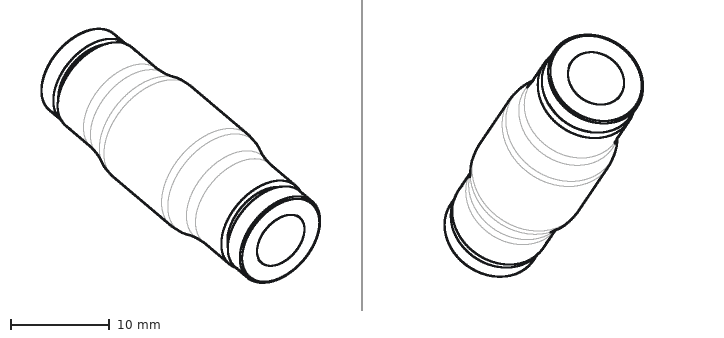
import cadquery as cq

length = 34.0
bore_radius = 3.0
collar_radius = 5.05
collar_length = 2.18
chamfer_length = 0.15
end_face_radius = 4.85
groove_radius = 4.45
groove_width = 0.92
sleeve_radius = 5.2
sleeve_length = 4.4
body_radius = 6.05

lower_cone_length = 1.35
flare_length = 2.35
upper_cone_length = 0.92
flare_start_radius = 5.35
flare_middle_radius = 5.58
flare_end_radius = 5.95

end_face = -length / 2
collar_end = end_face + collar_length
sleeve_start = collar_end + groove_width
sleeve_end = sleeve_start + sleeve_length
flare_start = sleeve_end + lower_cone_length
flare_middle = flare_start + flare_length / 2
flare_end = flare_start + flare_length
body_start = flare_end + upper_cone_length


def cylinder_along_x(radius, cylinder_length):
    """Cylinder on the X axis, centred on the middle of the part."""
    start = -cylinder_length / 2
    return cq.Workplane("YZ", origin=(start, 0, 0)).circle(radius).extrude(cylinder_length)


def fitting_end():
    """Solid of revolution from the -X end face to the start of the body."""
    return (
        cq.Workplane("XY")
        .moveTo(end_face, 0)
        .lineTo(end_face, end_face_radius)
        .lineTo(end_face + chamfer_length, collar_radius)
        .lineTo(collar_end, collar_radius)
        .lineTo(collar_end, groove_radius)
        .lineTo(sleeve_start, groove_radius)
        .lineTo(sleeve_start, sleeve_radius)
        .lineTo(sleeve_end, sleeve_radius)
        .lineTo(flare_start, flare_start_radius)
        .threePointArc((flare_middle, flare_middle_radius), (flare_end, flare_end_radius))
        .lineTo(body_start, body_radius)
        .lineTo(body_start, 0)
        .close()
        .revolve(360, (0, 0, 0), (1, 0, 0))
    )


left_end = fitting_end()
right_end = left_end.mirror("YZ")
body = cylinder_along_x(body_radius, -2 * body_start)
bore = cylinder_along_x(bore_radius, length)
result = body.union(left_end).union(right_end).cut(bore)